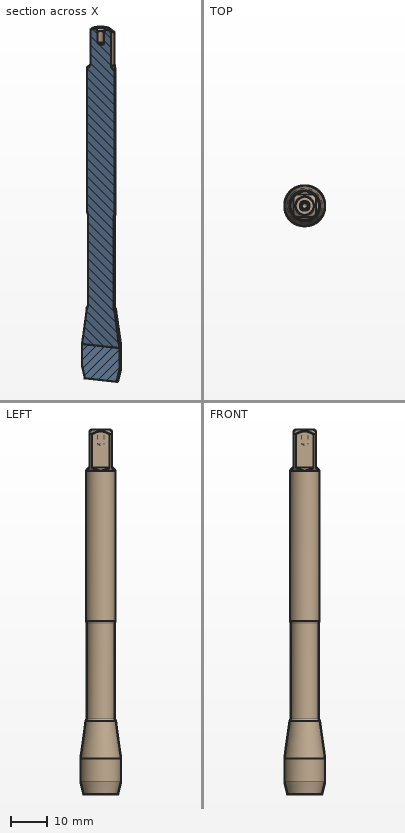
import cadquery as cq
import math

head_diameter = 11.23
head_tip_diameter = 9.55
lead_taper_height = 3.5
head_height = 9.82

overall_length = 100.0
cone_top_diameter = 8.35
neck_diameter = 7.8
neck_bottom_z = 20.83
neck_top_z = 46.87
neck_fillet_radius = 1.0
shank_diameter = 8.2
square_corner_diameter = 7.87
shank_shoulder_z = 88.7
shoulder_chamfer_angle = 45.0

square_width = 6.2
flat_bottom_z = 89.58
runout_angle = 45.0
end_face_diameter = 5.0
end_chamfer_angle = 42.0

center_hole_diameter = 1.7
center_hole_depth = 4.0
countersink_diameter = 2.6
countersink_angle = 60.0
drill_point_angle = 120.0

head_radius = head_diameter / 2
neck_radius = neck_diameter / 2
shank_radius = shank_diameter / 2
corner_radius = square_corner_diameter / 2
end_face_radius = end_face_diameter / 2


def make_head():
    """Short cylinder with a lead taper toward its tip."""
    return (
        cq.Workplane("XZ")
        .lineTo(head_tip_diameter / 2, 0)
        .lineTo(head_radius, lead_taper_height)
        .lineTo(head_radius, head_height)
        .lineTo(0, head_height)
        .close()
        .revolve(360, (0, 0), (0, 1))
    )


def neck_fillet_points(outer_radius):
    """Mid and end points of a neck fillet that is tangent to the neck.

    Each point is a radius and an axial distance from the end of the plain neck.
    """
    full_angle = math.acos(1 - (outer_radius - neck_radius) / neck_fillet_radius)
    return [
        (
            neck_radius + neck_fillet_radius * (1 - math.cos(angle)),
            neck_fillet_radius * math.sin(angle),
        )
        for angle in (full_angle / 2, full_angle)
    ]


def make_turned_holder():
    """Turned outline from the cone on the head up to the chamfered end."""
    lower_fillet_middle, lower_fillet_end = neck_fillet_points(cone_top_diameter / 2)
    lower_mid_radius, lower_mid_drop = lower_fillet_middle
    cone_top_radius, cone_top_drop = lower_fillet_end
    upper_fillet_middle, upper_fillet_end = neck_fillet_points(shank_radius)
    upper_mid_radius, upper_mid_rise = upper_fillet_middle
    shank_bottom_radius, shank_bottom_rise = upper_fillet_end
    shoulder_height = (shank_radius - corner_radius) * math.tan(math.radians(shoulder_chamfer_angle))
    chamfer_height = (corner_radius - end_face_radius) * math.tan(math.radians(end_chamfer_angle))
    return (
        cq.Workplane("XZ")
        .moveTo(0, head_height)
        .lineTo(head_radius, head_height)
        .lineTo(cone_top_radius, neck_bottom_z - cone_top_drop)
        .threePointArc(
            (lower_mid_radius, neck_bottom_z - lower_mid_drop),
            (neck_radius, neck_bottom_z),
        )
        .lineTo(neck_radius, neck_top_z)
        .threePointArc(
            (upper_mid_radius, neck_top_z + upper_mid_rise),
            (shank_bottom_radius, neck_top_z + shank_bottom_rise),
        )
        .lineTo(shank_radius, shank_shoulder_z - shoulder_height)
        .lineTo(corner_radius, shank_shoulder_z)
        .lineTo(corner_radius, overall_length - chamfer_height)
        .lineTo(end_face_radius, overall_length)
        .lineTo(0, overall_length)
        .close()
        .revolve(360, (0, 0), (0, 1))
    )


def make_flat_cutter():
    """Prism that leaves one flat of the square, with a sloped run-out at its foot."""
    flat_distance = square_width / 2
    runout_height = (shank_radius - flat_distance) * math.tan(math.radians(runout_angle))
    return (
        cq.Workplane("XZ")
        .moveTo(shank_radius, flat_bottom_z - runout_height)
        .lineTo(flat_distance, flat_bottom_z)
        .lineTo(flat_distance, overall_length)
        .lineTo(shank_radius, overall_length)
        .close()
        .extrude(shank_radius, both=True)
    )


def make_center_hole():
    """Countersunk blind hole with a drill point."""
    hole_radius = center_hole_diameter / 2
    countersink_radius = countersink_diameter / 2
    countersink_depth = (countersink_radius - hole_radius) / math.tan(math.radians(countersink_angle / 2))
    point_depth = hole_radius / math.tan(math.radians(drill_point_angle / 2))
    hole_floor_z = overall_length - center_hole_depth
    return (
        cq.Workplane("XZ")
        .moveTo(0, overall_length)
        .lineTo(countersink_radius, overall_length)
        .lineTo(hole_radius, overall_length - countersink_depth)
        .lineTo(hole_radius, hole_floor_z)
        .lineTo(0, hole_floor_z - point_depth)
        .close()
        .revolve(360, (0, 0), (0, 1))
    )


def make_holder():
    """Turned holder with the drive square and the center hole cut in its end."""
    holder = make_turned_holder()
    flat_cutter = make_flat_cutter()
    for turn in (0, 90, 180, 270):
        holder = holder.cut(flat_cutter.rotate((0, 0, 0), (0, 0, 1), turn))
    return holder.cut(make_center_hole())


head = make_head()
holder = make_holder()

result = cq.Compound.makeCompound([head.val(), holder.val()])